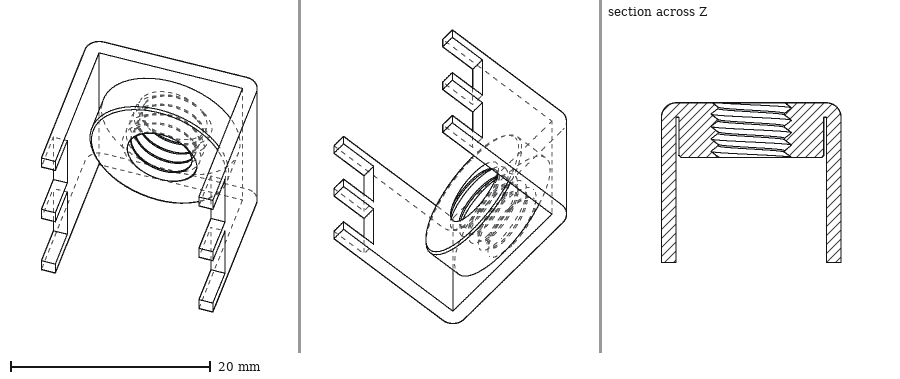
import cadquery as cq

width = 18.0
depth = 16.0
height = 18.0
thickness = 1.48
bend_radius = 1.5

pin_length = 4.0
pin_height = 1.45

boss_diameter = 14.55
boss_length = 4.01
boss_chamfer = 0.22

minor_radius = 3.31
major_radius = 4.01
pitch = 1.25
groove_width = 1.08
groove_overlap = 0.04
turns_beyond_end = 1

boss_face = thickness + boss_length


def make_channel():
    """U-shaped channel with its back on Y = 0 and centred on X and Z."""
    outer = (
        cq.Workplane("XY")
        .box(width, depth, height, centered=(True, False, True))
        .translate((0, -depth, 0))
        .edges("|Z and >Y")
        .fillet(bend_radius)
    )
    inner = (
        cq.Workplane("XY")
        .box(width - 2 * thickness, depth, height, centered=(True, False, True))
        .translate((0, -depth - thickness, 0))
    )
    return outer.cut(inner)


def make_pin_gaps():
    """Two notches through both side walls, leaving three pins on each."""
    gap_height = (height - 3 * pin_height) / 2
    gap_offset = (gap_height + pin_height) / 2
    return (
        cq.Workplane("XZ", origin=(0, -depth, 0))
        .pushPoints([(0, -gap_offset), (0, gap_offset)])
        .rect(width, gap_height)
        .extrude(-pin_length)
    )


def make_boss():
    return (
        cq.Workplane("XZ", origin=(0, -thickness, 0))
        .circle(boss_diameter / 2)
        .extrude(boss_length)
        .faces("<Y")
        .chamfer(boss_chamfer)
    )


def make_thread_groove():
    """Helical V groove that runs past both ends of the bore."""
    turns_inside = int(boss_face / pitch) + 1
    turns = turns_inside + 2 * turns_beyond_end
    start = boss_face - (turns - turns_beyond_end) * pitch

    groove_depth = major_radius - minor_radius
    mouth_radius = minor_radius - groove_overlap
    mouth_half_width = groove_width / 2 * (1 + groove_overlap / groove_depth)

    helix = cq.Wire.makeHelix(pitch, turns * pitch, minor_radius, center=cq.Vector(0, 0, start))
    groove = (
        cq.Workplane("XZ")
        .moveTo(mouth_radius, start - mouth_half_width)
        .lineTo(major_radius, start)
        .lineTo(mouth_radius, start + mouth_half_width)
        .close()
        .sweep(cq.Workplane(obj=helix), isFrenet=True)
    )
    return groove.rotate((0, 0, 0), (1, 0, 0), 90)


bore = cq.Workplane("XZ").circle(minor_radius).extrude(boss_face)

result = (
    make_channel()
    .cut(make_pin_gaps())
    .union(make_boss())
    .cut(make_thread_groove())
    .cut(bore)
)